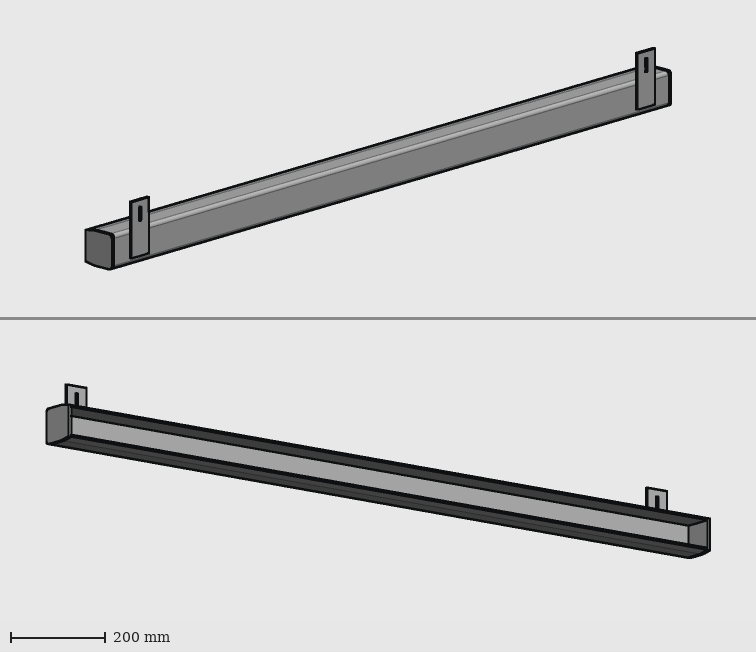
import cadquery as cq

LENGTH = 1713.0
TOTAL_HEIGHT = 139.0
TOTAL_DEPTH = 82.0

BRACKET_THICKNESS = 5.0
HOUSING_DEPTH = TOTAL_DEPTH - BRACKET_THICKNESS
HOUSING_HEIGHT = 77.0
TAPER_DROP = 4.3
TAPER_DEPTH = 25.0
REAR_RADIUS = 9.0
CAVITY_HEIGHT = 60.0
CAVITY_DEPTH = 65.0

CAP_THICKNESS = 7.0
HOUSING_LENGTH = LENGTH - 2 * CAP_THICKNESS

BRACKET_WIDTH = 53.0
BRACKET_BOTTOM = 15.0
BRACKET_SPACING = 1550.0
SLOT_WIDTH = 6.5
SLOT_LENGTH = 30.0
SLOT_TOP_GAP = 15.0

MID_HEIGHT = HOUSING_HEIGHT / 2


def extrude_outline(length, y):
    """Solid with the outer outline of the housing, centred on y."""
    outline = [
        (0, TAPER_DROP),
        (TAPER_DEPTH, 0),
        (HOUSING_DEPTH, 0),
        (HOUSING_DEPTH, HOUSING_HEIGHT),
        (TAPER_DEPTH, HOUSING_HEIGHT),
        (0, HOUSING_HEIGHT - TAPER_DROP),
    ]
    plane = cq.Workplane("XZ", origin=(0, y, 0))
    solid = plane.polyline(outline).close().extrude(length / 2, both=True)
    return solid.faces(">X").edges("|Y").fillet(REAR_RADIUS)


def make_housing():
    cavity = (
        cq.Workplane("XY")
        .box(CAVITY_DEPTH, HOUSING_LENGTH, CAVITY_HEIGHT, centered=(False, True, True))
        .translate((0, 0, MID_HEIGHT))
    )
    return extrude_outline(HOUSING_LENGTH, 0).cut(cavity)


def make_end_cap(side):
    return extrude_outline(CAP_THICKNESS, side * (LENGTH - CAP_THICKNESS) / 2)


def make_bracket(side):
    y = side * BRACKET_SPACING / 2
    plate = (
        cq.Workplane("XY", origin=(HOUSING_DEPTH, y, BRACKET_BOTTOM))
        .box(BRACKET_THICKNESS, BRACKET_WIDTH, TOTAL_HEIGHT - BRACKET_BOTTOM, centered=(False, True, False))
    )
    slot_z = TOTAL_HEIGHT - SLOT_TOP_GAP - SLOT_LENGTH / 2
    slot = (
        cq.Workplane("YZ", origin=(HOUSING_DEPTH, y, slot_z))
        .slot2D(SLOT_LENGTH, SLOT_WIDTH, 90)
        .extrude(BRACKET_THICKNESS)
    )
    return plate.cut(slot)


housing = make_housing()
end_caps = [make_end_cap(side) for side in (-1, 1)]
brackets = [make_bracket(side) for side in (-1, 1)]

result = cq.Compound.makeCompound(
    [housing.val()] + [cap.val() for cap in end_caps] + [bracket.val() for bracket in brackets]
)